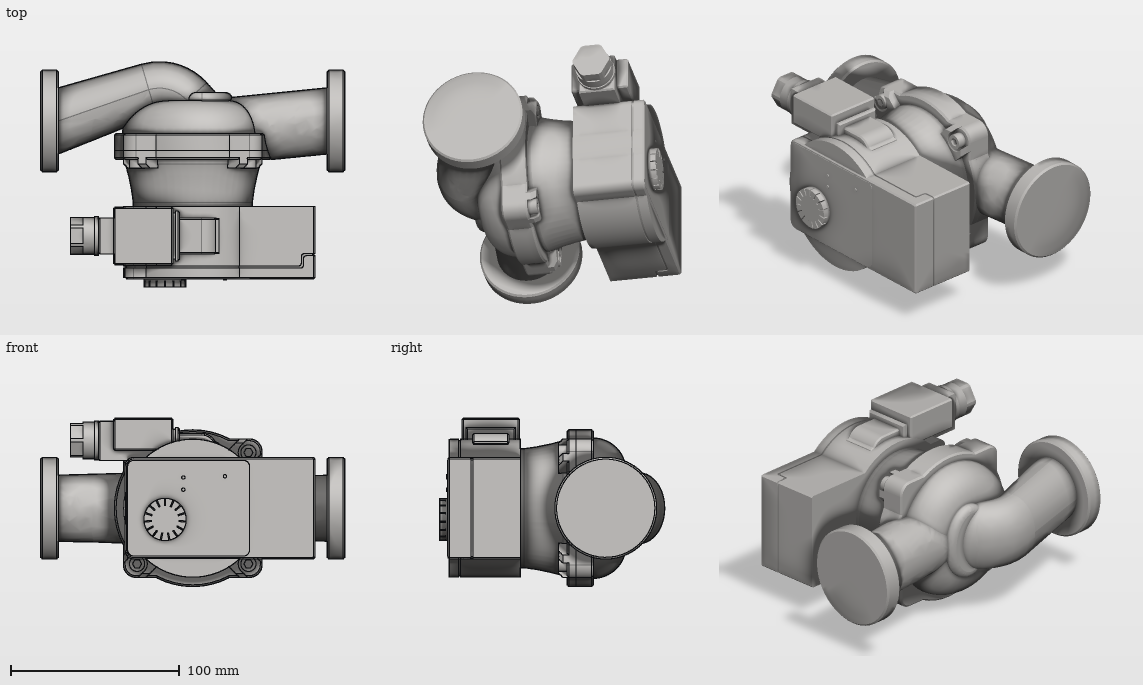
import cadquery as cq
import math


overall_length = 180
flange_diameter = 60.3
flange_thickness = 10.5
flange_edge = 1.0
pipe_end_x = overall_length / 2 - flange_thickness
pipe_radius = 19.6

joint_radius = 46.5
joint_square = 82.0
joint_corner = 7.5
joint_back_y = -7.4
joint_split_y = -17.6
joint_front_y = -22.9
joint_edge = 1.0

dome_radius = 41.5
dome_flat_radius = 21.6
dome_top_y = 12.0
hub_width = 35.6
hub_height = 46.8
hub_top_y = 17.0
hub_edge = 4.3
hub_x = 5.5
inlet_width = 31.3
inlet_height = 42.1
inlet_rise_angle = 16.3
inlet_dive_angle = 48
inlet_bend_radius = 22.1
inlet_bend_x = -19.8
inlet_bend_y = -2.7
inlet_tail_length = 10.8
outlet_inner_x = 18
outlet_inner_y = -6.1

collar_radius = 40.0
collar_front_y = -25.4
neck_radius = 70.5 / 2
neck_start_y = -48.2
waist_hollow = 0.5
module_back_y = -50.5

screw_offset = 33.0
screw_head_diameter = 9
screw_head_height = 5.2
socket_diameter = 5.4
socket_depth = 2.7
pad_width = 18.7
pad_slot_width = 12.0
pad_inner_edge = 38.3
pad_front_y = -27.9
pad_edge = 2.5

module_disc_radius = 40.9
module_left_x = -40.0
module_right_x = 72.4
module_height = 60.1
module_front_y = -93.5
module_corner = 5.0
module_edge = 0.9
disc_setback = 0.7
seam_y = -85.9
seam_gap = 1.3
seam_depth = 0.7
heel_x = 64.3
heel_y = -78.5
heel_round = 1.8
panel_left_x = -38.5
panel_right_x = 33.7
panel_height = 56.5
panel_corner = 3.6
panel_raise = 0.2
led_diameter = 2.0
led_raise = 0.7
led_places = [(-5.5, 18.2), (-5.5, 11.0), (19.0, 18.9)]

knob_diameter = 25.0
knob_height = 4.9
knob_x = -16.4
knob_z = -6.7
knob_slots = 15
knob_slot_width = 0.7
knob_slot_length = 4.3
knob_slot_depth = 3.5

plug_y = -68.0
plug_left_x = -55.8
plug_right_x = -11.7
plug_width = 21.5
plug_bottom_z = 28.0
plug_top_z = 51.5
cap_left_x = -46.8
cap_width = 34.2
cap_bottom_z = 34.0
cap_top_z = 53.3
plug_edge = 0.9
tongue_length = 3.8
tongue_neck = 1.5
tongue_neck_inset = 1.0
tongue_width = 29.5
tongue_bottom_z = 36
tongue_top_z = 47.9
gland_z = 40.1
gland_diameter = 22.0
gland_ring_diameter = 23.0
gland_ring_length = 2.3
gland_length = 16.5
gland_hex_length = 7.4
gland_hex_flats = 20.0
gland_hex_turn = 30

latch_flat_x = 5.0
latch_slope_x = 13.3
latch_end_x = 15.5
latch_top_z = 44.3
latch_slope_z = 39.5
latch_end_z = 38.3
latch_floor_z = 34.2
latch_edge = 0.9


def box(x_min, x_max, y_min, y_max, z_min, z_max):
    """Box given by its limits along each axis."""
    size = (x_max - x_min, y_max - y_min, z_max - z_min)
    return cq.Workplane("XY").box(*size, centered=False).translate((x_min, y_min, z_min))


def along_y(back_y):
    """Workplane at back_y that extrudes toward -Y, with +X right and +Z up."""
    return cq.Workplane("XZ", origin=(0, back_y, 0))


def joint_plate(back_y, front_y):
    """Round plate with four lug corners, the plan of the bolted joint."""
    depth = back_y - front_y
    square = along_y(back_y).rect(joint_square, joint_square).extrude(depth)
    square = square.edges("|Y").fillet(joint_corner)
    return square.union(along_y(back_y).circle(joint_radius).extrude(depth))


def pipe_flange(x_min):
    disc = cq.Workplane("YZ", origin=(x_min, 0, 0)).circle(flange_diameter / 2).extrude(flange_thickness)
    return disc.edges().chamfer(flange_edge)


def pipe_section(x, y, in_plane_radius, z_radius, tilt_degrees):
    """Ellipse across a pipe whose direction is turned from +X toward -Y."""
    tilt = math.radians(tilt_degrees)
    direction = cq.Vector(math.cos(tilt), -math.sin(tilt), 0)
    across = cq.Vector(math.sin(tilt), math.cos(tilt), 0)
    return cq.Wire.makeEllipse(in_plane_radius, z_radius, cq.Vector(x, y, 0), direction, across)


def inlet_pipe():
    """Pipe that rises straight behind the housing, bends and dives into its middle."""
    rise = math.radians(inlet_rise_angle)
    start_x = inlet_bend_x - inlet_bend_radius * math.sin(rise)
    start_y = inlet_bend_y + inlet_bend_radius * math.cos(rise)
    bend_start = pipe_section(start_x, start_y, inlet_width / 2, inlet_height / 2, -inlet_rise_angle)
    pipe_start = pipe_section(-pipe_end_x, 0, pipe_radius, pipe_radius, 0)
    straight = cq.Solid.makeLoft([pipe_start, bend_start], True)

    axis_start = cq.Vector(inlet_bend_x, inlet_bend_y, 0)
    axis_end = axis_start - cq.Vector(0, 0, 1.8)
    bend = cq.Solid.revolve(bend_start, [], inlet_rise_angle + inlet_dive_angle, axis_start, axis_end)

    dive = math.radians(inlet_dive_angle)
    end_x = inlet_bend_x + inlet_bend_radius * math.sin(dive)
    end_y = inlet_bend_y + inlet_bend_radius * math.cos(dive)
    bend_end = pipe_section(end_x, end_y, inlet_width / 2, inlet_height / 2, inlet_dive_angle)
    direction = cq.Vector(math.cos(dive), -math.sin(dive), 0)
    tail = cq.Solid.extrudeLinear(bend_end, [], direction * inlet_tail_length)
    return cq.Workplane(obj=straight).union(cq.Workplane(obj=bend)).union(cq.Workplane(obj=tail))


def outlet_pipe():
    sections = [
        pipe_section(outlet_inner_x, outlet_inner_y, pipe_radius, pipe_radius, 0),
        pipe_section(pipe_end_x, 0, pipe_radius, pipe_radius, 0),
    ]
    return cq.Workplane(obj=cq.Solid.makeLoft(sections, True))


def dome():
    """Volute: flat top and a quarter-ellipse shoulder, turned about Y."""
    half_root = math.sqrt(0.5)
    shoulder_width = dome_radius - dome_flat_radius
    shoulder_height = dome_top_y - joint_back_y
    middle = (dome_flat_radius + shoulder_width * half_root, joint_back_y + shoulder_height * half_root)
    profile = (
        cq.Workplane("XY")
        .moveTo(0, joint_split_y)
        .lineTo(dome_radius, joint_split_y)
        .lineTo(dome_radius, joint_back_y)
        .threePointArc(middle, (dome_flat_radius, dome_top_y))
        .lineTo(0, dome_top_y)
        .close()
    )
    return profile.revolve(360, (0, 0, 0), (0, 1, 0))


def pump_housing():
    hub = along_y(hub_top_y).center(hub_x, 0).ellipse(hub_width / 2, hub_height / 2).extrude(hub_top_y)
    hub = hub.faces(">Y").edges().fillet(hub_edge)
    plate = joint_plate(joint_back_y, joint_split_y).faces(">Y").edges().chamfer(joint_edge)
    outlet = outlet_pipe().cut(joint_plate(joint_split_y, module_back_y))
    body = dome().union(plate).union(hub)
    for piece in (outlet, pipe_flange(-overall_length / 2), pipe_flange(pipe_end_x), inlet_pipe()):
        body = body.union(piece, clean=False)
    return body


def screw_pads():
    """Raised pad on each lug, with a round-ended slot open to the outside for the screw head."""
    reach = joint_square
    half_width = pad_width / 2
    screw_radius = screw_offset * math.sqrt(2)
    pad = box(pad_inner_edge, reach, pad_front_y, joint_split_y, -half_width, half_width)
    slot = box(screw_radius, reach, pad_front_y, joint_split_y, -pad_slot_width / 2, pad_slot_width / 2)
    slot_end = along_y(joint_split_y).center(screw_radius, 0).circle(pad_slot_width / 2)
    slot = slot.union(slot_end.extrude(joint_split_y - pad_front_y))
    pad = pad.cut(slot)

    pads = pad.rotate((0, 0, 0), (0, 1, 0), 45)
    for turn in range(1, 4):
        pads = pads.union(pad.rotate((0, 0, 0), (0, 1, 0), 45 + 90 * turn))
    outline = joint_plate(joint_split_y, pad_front_y).faces("<Y").edges().chamfer(pad_edge)
    return pads.intersect(outline)


def motor():
    plate = joint_plate(joint_split_y, joint_front_y).faces("<Y").edges().chamfer(joint_edge)
    waist = ((collar_radius + neck_radius) / 2 - waist_hollow, (collar_front_y + neck_start_y) / 2)
    barrel = (
        cq.Workplane("XY")
        .moveTo(0, joint_split_y)
        .lineTo(collar_radius, joint_split_y)
        .lineTo(collar_radius, collar_front_y)
        .threePointArc(waist, (neck_radius, neck_start_y))
        .lineTo(neck_radius, module_back_y)
        .lineTo(0, module_back_y)
        .close()
        .revolve(360, (0, 0, 0), (0, 1, 0))
    )
    return plate.union(barrel).union(screw_pads())


def screws():
    heads = (
        along_y(joint_front_y)
        .rect(2 * screw_offset, 2 * screw_offset, forConstruction=True)
        .vertices()
        .circle(screw_head_diameter / 2)
        .extrude(screw_head_height)
    )
    sockets = (
        along_y(joint_front_y - screw_head_height + socket_depth)
        .rect(2 * screw_offset, 2 * screw_offset, forConstruction=True)
        .vertices()
        .polygon(6, socket_diameter)
        .extrude(socket_depth)
    )
    return heads.cut(sockets)


def module_shape(inset):
    """Round can joined with the long box, pulled in by inset all round."""
    disc_depth = module_back_y - module_front_y - disc_setback
    disc = along_y(module_back_y).circle(module_disc_radius - inset).extrude(disc_depth)
    half_height = module_height / 2 - inset
    left_x = module_left_x + inset
    right_x = module_right_x - inset
    case = box(left_x, right_x, module_front_y, module_back_y, -half_height, half_height)
    case = case.edges("|Y and <X").fillet(module_corner)
    case = case.edges("|Y and >X").chamfer(module_edge)
    case = case.faces("<Y").edges().chamfer(module_edge)
    return case.union(disc)


def cover_region(gap):
    """Space in front of the parting seam, which steps back at the right end."""
    reach = 2 * module_disc_radius
    return (
        cq.Workplane("XY", origin=(0, 0, -reach / 2))
        .moveTo(-reach, module_front_y - 1.8)
        .lineTo(-reach, seam_y - gap)
        .lineTo(heel_x + gap - heel_round, seam_y - gap)
        .tangentArcPoint((heel_round, heel_round))
        .lineTo(heel_x + gap, heel_y - gap - heel_round)
        .tangentArcPoint((heel_round, heel_round))
        .lineTo(reach, heel_y - gap)
        .lineTo(reach, module_front_y - 1.8)
        .close()
        .extrude(reach)
    )


def latch():
    """Ramp that holds the plug, flat on top and curving down to the can."""
    profile = (
        cq.Workplane("XZ", origin=(0, plug_y + plug_width / 2, 0))
        .moveTo(plug_right_x, latch_floor_z)
        .lineTo(plug_right_x, latch_top_z)
        .lineTo(latch_flat_x, latch_top_z)
        .tangentArcPoint((latch_slope_x, latch_slope_z), relative=False)
        .lineTo(latch_end_x, latch_end_z)
        .lineTo(latch_end_x, latch_floor_z)
        .close()
        .extrude(plug_width)
    )
    return profile.edges("(>Y or <Y) and (not |Z) and (not <Z)").chamfer(latch_edge)


def module_base(plug_body):
    return module_shape(0).cut(cover_region(0)).union(latch()).cut(plug_body)


def module_cover():
    groove = cover_region(0).cut(cover_region(seam_gap)).cut(module_shape(seam_depth))
    cover = module_shape(0).intersect(cover_region(0)).cut(groove)
    panel_middle = (panel_left_x + panel_right_x) / 2
    panel = (
        along_y(module_front_y)
        .center(panel_middle, 0)
        .rect(panel_right_x - panel_left_x, panel_height)
        .extrude(panel_raise)
        .edges("|Y")
        .fillet(panel_corner)
    )
    leds = along_y(module_front_y).pushPoints(led_places).circle(led_diameter / 2).extrude(led_raise)
    return cover.union(panel).union(leds)


def knob():
    back_y = module_front_y - panel_raise
    body = along_y(back_y).circle(knob_diameter / 2).extrude(knob_height - panel_raise)
    front_y = module_front_y - knob_height
    for slot in range(knob_slots):
        cutter = box(
            -knob_slot_width / 2,
            knob_slot_width / 2,
            front_y,
            front_y + knob_slot_depth,
            knob_diameter / 2 - knob_slot_length,
            knob_diameter,
        )
        body = body.cut(cutter.rotate((0, 0, 0), (0, 1, 0), slot * 360 / knob_slots))
    return body.translate((knob_x, 0, knob_z))


def gland():
    """Cable gland: ring, barrel and hexagonal end, running toward -X."""
    def section(start):
        return cq.Workplane("YZ", origin=(plug_left_x - start, plug_y, gland_z))

    barrel_length = gland_length - gland_hex_length
    ring = section(0).circle(gland_ring_diameter / 2).extrude(-gland_ring_length)
    barrel = section(0).circle(gland_diameter / 2).extrude(-barrel_length)
    hexagon = section(barrel_length).transformed(rotate=(0, 0, gland_hex_turn))
    hexagon = hexagon.polygon(6, gland_hex_flats, circumscribed=True).extrude(-gland_hex_length)
    round_end = section(barrel_length).circle(gland_diameter / 2).extrude(-gland_hex_length)
    return ring.union(barrel).union(hexagon.intersect(round_end))


def plug():
    def block(x_min, x_max, width, z_min, z_max):
        return box(x_min, x_max, plug_y - width / 2, plug_y + width / 2, z_min, z_max)

    insert = block(plug_left_x, plug_right_x, plug_width, plug_bottom_z, plug_top_z)
    insert = insert.faces("<X").edges().chamfer(plug_edge)
    cap = block(cap_left_x, plug_right_x, cap_width, cap_bottom_z, cap_top_z).edges().chamfer(plug_edge)
    neck_end_x = plug_right_x + tongue_neck
    neck = block(
        plug_right_x,
        neck_end_x,
        tongue_width - 2 * tongue_neck_inset,
        tongue_bottom_z + tongue_neck_inset,
        tongue_top_z - tongue_neck_inset,
    )
    tongue = block(neck_end_x, plug_right_x + tongue_length, tongue_width, tongue_bottom_z, tongue_top_z)
    tongue = tongue.faces(">X").edges().chamfer(plug_edge)
    return insert.union(cap).union(neck).union(tongue).union(gland())


plug_body = plug()
result = cq.Compound.makeCompound(
    [
        pump_housing().val(),
        motor().val(),
        *screws().vals(),
        module_base(plug_body).val(),
        module_cover().val(),
        knob().val(),
        plug_body.val(),
    ]
)